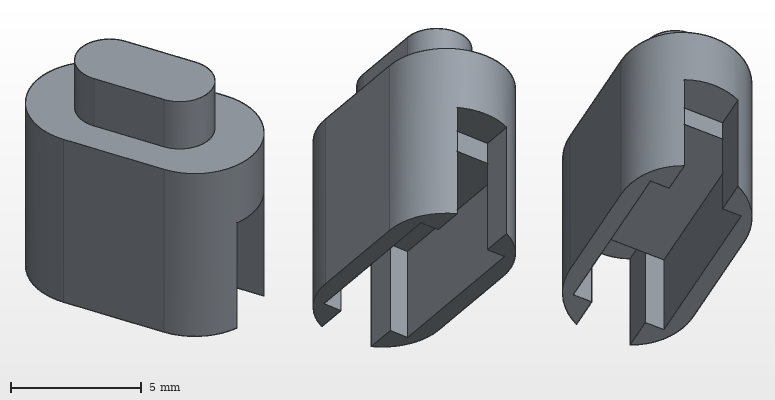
import cadquery as cq

body_length = 9.6
body_width = 5.3
body_height = 7.75

boss_length = 5.7
boss_width = 2.7
total_height = 10.0
boss_height = total_height - body_height

cavity_length = 6.5
cavity_width = 3.9
cavity_depth = 4.05

notch_width = 2.3
notch_height = 5.0
notch_length = (body_length - cavity_length) / 2


def rounded_block(length, width, height, base_z):
    """Block with semicircular ends along X, standing on base_z."""
    return cq.Workplane("XY").workplane(offset=base_z).slot2D(length, width).extrude(height)


def bottom_cutter(length, width, height, center_x):
    """Box rising from the underside, centred in Y."""
    return cq.Workplane("XY").center(center_x, 0).rect(length, width).extrude(height)


body = rounded_block(body_length, body_width, body_height, 0)
boss = rounded_block(boss_length, boss_width, boss_height, body_height)
result = body.union(boss)

result = result.cut(bottom_cutter(cavity_length, cavity_width, cavity_depth, 0))

notch_center_x = (cavity_length + notch_length) / 2
for side in (-1, 1):
    result = result.cut(bottom_cutter(notch_length, notch_width, notch_height, side * notch_center_x))